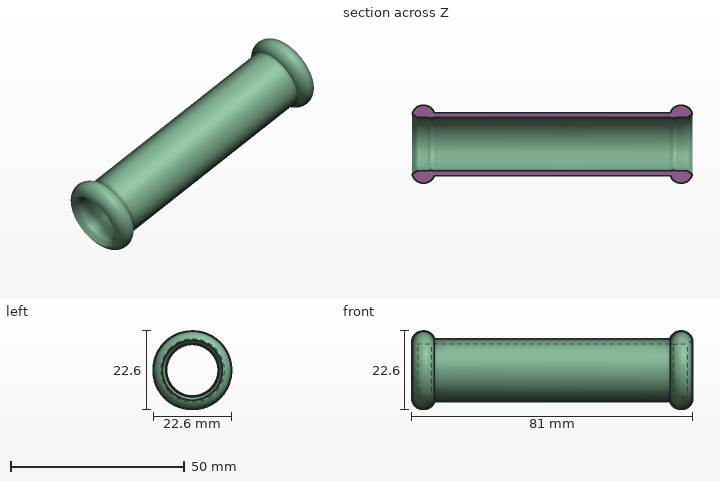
import cadquery as cq
import math

length = 81.0
tube_radius = 18.3 / 2
bore_radius = 15.3 / 2

bead_radius = 3.4
bead_outer_radius = 11.3
bead_center_radius = bead_outer_radius - bead_radius

mouth_radius = 8.7
flare_radius = 15.7 / 2
flare_depth = 1.2
flare_end = 1.6

ridge_radius = 7.45
ridge_start = 4.6
ridge_end = 6.5
ridge_peak = (ridge_start + ridge_end) / 2

left_end = -length / 2


def bead_half_width(radius):
    """Half the bead's width along X at a given distance from the axis."""
    return math.sqrt(bead_radius**2 - (radius - bead_center_radius) ** 2)


def half_sleeve():
    """Revolved half of the sleeve, from its left end to the middle."""
    bead_center = left_end + bead_half_width(mouth_radius)
    bead_inner_side = bead_center + bead_half_width(tube_radius)
    profile = (
        cq.Workplane("XY")
        .moveTo(0, bore_radius)
        .lineTo(0, tube_radius)
        .lineTo(bead_inner_side, tube_radius)
        .threePointArc((bead_center, bead_outer_radius), (left_end, mouth_radius))
        .lineTo(left_end + flare_depth, flare_radius)
        .lineTo(left_end + flare_end, bore_radius)
        .lineTo(left_end + ridge_start, bore_radius)
        .lineTo(left_end + ridge_peak, ridge_radius)
        .lineTo(left_end + ridge_end, bore_radius)
        .close()
    )
    return profile.revolve(360, (0, 0, 0), (1, 0, 0))


left_half = half_sleeve()
result = left_half.union(left_half.mirror("YZ")).clean()